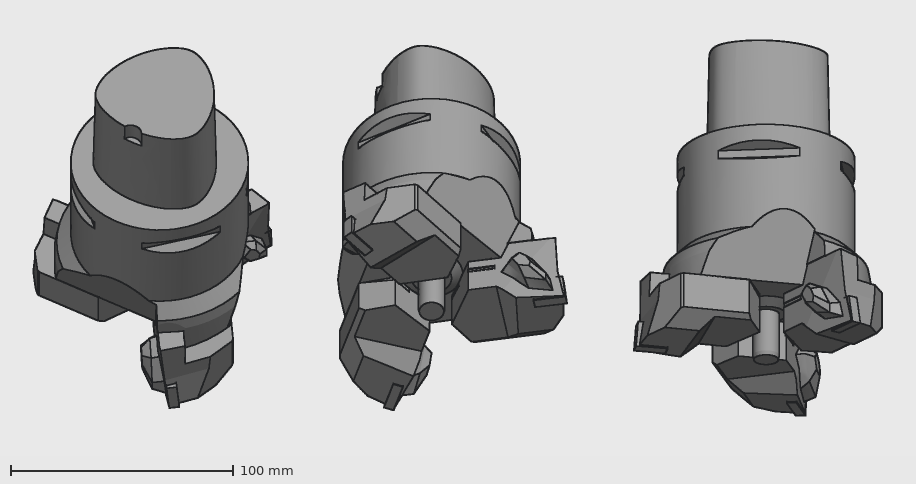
import cadquery as cq
import math

body_radius = 40.0
flange_z = 100.0
shank_length = 48.0
shank_radius = 27.75
shank_top_radius = 26.75
shank_lobe = 2.15
patch_half_angle = 33.5
patch_points = 9

keyway_radius = 5.0
keyway_offset = 26.9
keyway_depth = 8.5

groove_z = 87.8
groove_floor = 35.5
groove_floor_height = 3.8
groove_mouth_height = 9.0
groove_angles = (45, 135, 225, 315)

skirt_radius = 47.3
skirt_bottom_z = 27.0
skirt_profile = [(body_radius, 50.0), (46.3, 43.8), (skirt_radius, 38.0)]
hub_bottom_z = 24.0
hub_radius = 9.0
hub_cone_radius = 14.0

tube_diameter = 12.01
tube_bottom_z = 1.8
tube_chamfer_width = 0.5
tube_chamfer_height = 2.0

stations = [(180.0, 153.0), (63.8, 31.0), (-56.4, -90.0)]
gullet_top_z = 58.9
gullet_slope = math.radians(18.2)
gullet_wall_y = 4.6

rake_y = 4.3
slide_rear_y = -29.7
slide_inner_x = -6.7
rake_inner_x = -17.5
slide_outer_x = -65.0
slide_floor_z = 8.3
slide_bottom_z = 0.5
rear_bevel_start = (slide_outer_x, -2.8)
rear_bevel_end = (-46.7, -29.1)
rear_face_x = (-45.4, -15.0)
inner_corner_y = -15.1
underside = [(slide_rear_y, 10.5), (-21.3, 3.2), (rake_y, 0.3)]
toe_x = (-30.3, -39.0)
post_top_z = 36.0
post_inner_x = -28.0
post_rear_y = -7.2
shelf_low_z = 24.2
shelf_high_z = 27.1
flat_low_x = -46.8
flat_high_x = -46.5
flat_high_z = 45.0
flat_rear_y = -15.0
outer_top_x = -57.3
outer_kink_x = -58.3
outer_low_x = -61.5
outer_low_z = -2.0
outer_kink_z = 15.6
outer_kink_tilt = 6.3
outer_face_draw = 10.0
facet_points = [(-55.0, rake_y, 36.0), (-45.5, rake_y, 22.7), (-60.0, 0.6, 1.0)]
facet_cut_depth = 10.0
rail_bottom_z = 20.6
rail_height = 1.8
rail_depth = 0.5
rail_length = 12.0

insert_thickness = 4.6
insert_tilt = 5.0
insert_face_y = 0.4
insert_outline = [(-61.2, 0.0), (-46.5, 0.2), (-48.5, 12.7), (-60.0, 12.7)]

clamp_foot_y = -1.0
clamp_shoulder_y = 7.5
clamp_crown_y = 11.5
clamp_foot = [(-38.0, 24.4), (-27.0, 15.0), (-46.0, 3.8), (-56.5, 3.8), (-55.0, 12.0), (-47.0, 20.5)]
clamp_shoulder = [(-39.5, 24.0), (-36.0, 19.0), (-43.5, 8.5), (-53.5, 5.0), (-53.5, 9.5), (-47.5, 19.5)]
clamp_crown = [(-42.0, 21.0), (-38.5, 18.0), (-41.5, 13.0), (-46.5, 11.5), (-47.0, 14.5), (-45.0, 18.5)]

big = 200.0


def place(shape, direction):
    """Turn a shape made for the -X station to the given direction."""
    return shape.rotate((0, 0, 0), (0, 0, 1), direction - 180.0)


def block(x_range, y_range, z_range):
    """Box between the given coordinates."""
    sizes = [high - low for low, high in (x_range, y_range, z_range)]
    corner = (x_range[0], y_range[0], z_range[0])
    return cq.Workplane("XY").box(*sizes, centered=False).translate(corner)


def shank_point(angle, z, mean_radius):
    """Point of a three-lobed curve of constant width; the angle is that of its normal from +Y."""
    a = math.radians(angle)
    along = mean_radius * math.cos(a) + shank_lobe * (2 * math.cos(2 * a) - math.cos(4 * a))
    across = mean_radius * math.sin(a) - shank_lobe * (2 * math.sin(2 * a) + math.sin(4 * a))
    return cq.Vector(-across, along, z)


def shank_tangent(angle):
    a = math.radians(angle)
    return cq.Vector(-math.cos(a), -math.sin(a), 0)


def shank_section(z, mean_radius):
    """Closed polygon outline in six patches, three over the lobes and three between them."""
    edges = []
    for lobe in (0.0, 120.0, 240.0):
        ends = (lobe - patch_half_angle, lobe + patch_half_angle, lobe + 120.0 - patch_half_angle)
        for start, end in zip(ends, ends[1:]):
            angles = [start + (end - start) * i / (patch_points - 1) for i in range(patch_points)]
            points = [shank_point(angle, z, mean_radius) for angle in angles]
            edges.append(cq.Edge.makeSpline(points, tangents=[shank_tangent(start), shank_tangent(end)]))
    return cq.Wire.assembleEdges(edges)


def make_shank():
    top_z = flange_z + shank_length
    sections = [shank_section(flange_z, shank_radius), shank_section(top_z, shank_top_radius)]
    shank = cq.Workplane(cq.Solid.makeLoft(sections, True))
    keyway = (
        cq.Workplane("XY", origin=(0, -keyway_offset, top_z - keyway_depth))
        .circle(keyway_radius)
        .extrude(2 * keyway_depth)
    )
    return shank.cut(keyway)


def make_turned_body():
    """Body cylinder, flared skirt, flat underside and central tube."""
    tube_radius = tube_diameter / 2
    outline = [
        (0, tube_bottom_z),
        (tube_radius - tube_chamfer_width, tube_bottom_z),
        (tube_radius, tube_bottom_z + tube_chamfer_height),
        (tube_radius, hub_bottom_z),
        (skirt_radius, hub_bottom_z),
        *reversed(skirt_profile),
        (body_radius, flange_z),
        (0, flange_z),
    ]
    return cq.Workplane("XZ").polyline(outline).close().revolve(360, (0, 0, 0), (0, 1, 0))


def make_gripper_groove():
    """Straight groove with flared flanks, on the +X side."""
    mouth_x = body_radius
    flare = (groove_mouth_height - groove_floor_height) / 2 / (mouth_x - groove_floor)
    outer_x = mouth_x + groove_floor_height
    floor_half = groove_floor_height / 2
    outer_half = floor_half + flare * (outer_x - groove_floor)
    return (
        cq.Workplane("XZ", origin=(0, 0, groove_z))
        .polyline([
            (groove_floor, -floor_half),
            (outer_x, -outer_half),
            (outer_x, outer_half),
            (groove_floor, floor_half),
        ])
        .close()
        .extrude(body_radius, both=True)
    )


def make_gullet(slide_direction, gullet_direction):
    """Chip space outside a leaning plane, ahead of the slide's rake side."""
    depth_at_bottom = body_radius - (gullet_top_z - skirt_bottom_z) * math.tan(gullet_slope)
    lean = (
        cq.Workplane("XZ")
        .polyline([
            (depth_at_bottom, skirt_bottom_z),
            (big, skirt_bottom_z),
            (big, gullet_top_z),
            (body_radius, gullet_top_z),
        ])
        .close()
        .extrude(big, both=True)
        .rotate((0, 0, 0), (0, 0, 1), gullet_direction)
    )
    beside_post = block((-big, big), (rake_y, big), (0, post_top_z))
    above_post = block((-big, big), (gullet_wall_y, big), (post_top_z, flange_z))
    return lean.intersect(place(beside_post.union(above_post), slide_direction))


def make_post_flat():
    """Space outside the leaning flat on the skirt around the slide's post."""
    return (
        cq.Workplane("XZ", origin=(0, gullet_wall_y, 0))
        .polyline([
            (flat_low_x, shelf_low_z),
            (flat_high_x, flat_high_z),
            (-big, flat_high_z),
            (-big, shelf_low_z),
        ])
        .close()
        .extrude(gullet_wall_y - flat_rear_y)
    )


def slide_plan(bottom_z, top_z):
    """Prism on the slide's outline seen along Z."""
    return (
        cq.Workplane("XY", origin=(0, 0, bottom_z))
        .polyline([
            (rake_inner_x, rake_y),
            (slide_outer_x, rake_y),
            rear_bevel_start,
            rear_bevel_end,
            (rear_face_x[0], slide_rear_y),
            (rear_face_x[1], slide_rear_y),
            (slide_inner_x, inner_corner_y),
        ])
        .close()
        .extrude(top_z - bottom_z)
    )


def slide_side():
    """Prism on the slide's outline seen along X: post, sloping shelf and bevelled rear."""
    return (
        cq.Workplane("YZ")
        .polyline([
            (rake_y, post_top_z),
            (post_rear_y, post_top_z),
            (post_rear_y, shelf_low_z),
            (slide_rear_y, shelf_high_z),
            *underside,
        ])
        .close()
        .extrude(-big)
    )


def slide_front():
    """Prism on the slide's outline seen along Y: post and stepped bottom."""
    return (
        cq.Workplane("XZ")
        .polyline([
            (slide_outer_x, post_top_z),
            (post_inner_x, post_top_z),
            (post_inner_x, shelf_high_z),
            (slide_inner_x, shelf_high_z),
            (slide_inner_x, slide_floor_z),
            (toe_x[0], slide_floor_z),
            (toe_x[1], slide_bottom_z),
            (slide_outer_x, slide_bottom_z),
        ])
        .close()
        .extrude(big, both=True)
    )


def slide_outside():
    """Space outside the slide's outer faces, which lean outward and draw in towards the rear."""
    return (
        cq.Workplane("XZ", origin=(0, rake_y, 0))
        .polyline([
            (outer_top_x, big),
            (outer_top_x, post_top_z),
            (outer_kink_x, outer_kink_z),
            (outer_low_x, outer_low_z),
            (-big, outer_low_z),
            (-big, big),
        ])
        .close()
        .extrude(big / 2, both=True)
        .rotate((0, rake_y, outer_kink_z), (1, rake_y, outer_kink_z), -outer_kink_tilt)
        .rotate((outer_top_x, rake_y, 0), (outer_top_x, rake_y, 1), outer_face_draw)
    )


def rake_facet():
    """Space ahead of the leaning rake facet, set by three points on the facet."""
    upper, inner, tip = [cq.Vector(*point) for point in facet_points]
    normal = (inner - upper).cross(tip - upper).normalized()
    plane = cq.Plane(origin=upper.toTuple(), xDir=(inner - upper).toTuple(), normal=normal.toTuple())
    return cq.Workplane(plane).rect(big, big).extrude(facet_cut_depth)


def make_clamp():
    """Raised clamp on the rake side, faceted from its foot over a shoulder to its crown."""
    levels = [
        (clamp_foot_y, clamp_foot),
        (clamp_shoulder_y, clamp_shoulder),
        (clamp_crown_y, clamp_crown),
    ]
    sections = []
    for y, corners in levels:
        sections.append(cq.Wire.makePolygon([cq.Vector(x, y, z) for x, z in corners], close=True))
    return cq.Workplane(cq.Solid.makeLoft(sections, True))


def make_insert():
    return (
        cq.Workplane("XZ")
        .polyline(insert_outline)
        .close()
        .extrude(insert_thickness)
        .rotate((0, 0, 0), (1, 0, 0), -insert_tilt)
        .translate((0, insert_face_y, 0))
    )


def make_slide_blank():
    blank = slide_plan(0, post_top_z).intersect(slide_side()).intersect(slide_front())
    return blank.cut(slide_outside())


def make_slide(insert):
    rail = block(
        (rake_inner_x - rail_length, slide_inner_x),
        (rake_y - rail_depth, rake_y + rail_depth),
        (rail_bottom_z, rail_bottom_z + rail_height),
    )
    return make_slide_blank().cut(rake_facet()).cut(rail).union(make_clamp()).cut(insert)


def make_chip_space():
    """Open space under the body, outside the slides' outlines and around the central tube."""
    tube_radius = tube_diameter / 2
    space = (
        cq.Workplane("XZ")
        .polyline([
            (tube_radius, 0),
            (tube_radius, hub_bottom_z),
            (hub_radius, hub_bottom_z),
            (hub_cone_radius, skirt_bottom_z),
            (big, skirt_bottom_z),
            (big, 0),
        ])
        .close()
        .revolve(360, (0, 0, 0), (0, 1, 0))
    )
    for slide_direction, _ in stations:
        space = space.cut(place(slide_plan(-1.0, post_top_z), slide_direction))
    return space


def make_housing():
    slide_blank = make_slide_blank()
    housing = make_turned_body().cut(make_chip_space())
    for angle in groove_angles:
        housing = housing.cut(make_gripper_groove().rotate((0, 0, 0), (0, 0, 1), angle))
    for slide_direction, gullet_direction in stations:
        housing = housing.cut(place(make_post_flat(), slide_direction))
        housing = housing.cut(make_gullet(slide_direction, gullet_direction))
        housing = housing.cut(place(slide_blank, slide_direction))
    return housing.union(make_shank())


insert = make_insert()
slide = make_slide(insert)
housing = make_housing()
slides = [place(slide, direction) for direction, _ in stations]
inserts = [place(insert, direction) for direction, _ in stations]

result = cq.Compound.makeCompound(
    [housing.val(), *[body.val() for body in slides], *[body.val() for body in inserts]]
)